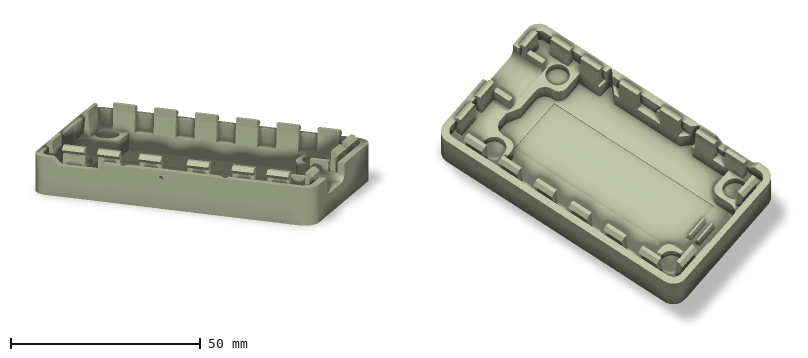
import cadquery as cq
length = 79.45
width = 44.2
total_height = 13.3
rim_height = 10.5
wall = 2.0
left_wall = 1.8
outer_radius = 4.0
inner_radius = 2.55

ledge_z = 5.95
floor_z = 1.0
label_recess_depth = 0.3
overcut = 0.8

half_length = length / 2
half_width = width / 2
wall_x = half_length - wall
wall_y = half_width - wall

tab_thickness = 1.0
end_wall_tab_thickness = 0.95
tab_base_spread = 0.5
hook_reach = 1.0
hook_tip_z = total_height - hook_reach
hook_under_z = hook_tip_z - hook_reach
tab_base_inset = hook_reach + tab_thickness + tab_base_spread
tab_width = 6.1
side_tab_width = 6.6
end_tab_center = 28.8

back_tab_count = 6
back_tab_pitch = 2 * end_tab_center / (back_tab_count - 1)
back_tabs = [-end_tab_center + i * back_tab_pitch for i in range(back_tab_count)]
front_tabs = [-end_tab_center, -18.9, -7.2, 6.3, 18.9, end_tab_center]
left_tabs = [-13.35, 13.35]
right_tab_spans = [(10.0, 16.1), (1.4, 7.55), (-17.6, -12.1)]

pocket_y = wall_y - tab_base_inset
scoop_x = -38.1
scoop_corner_radius = 4.8
scoop_cove_radius = ledge_z - floor_z
post_y = 9.5
post_radius = 2.6
left_post_x = -27.25
right_post_x = 22.0
bay_x = 30.0
bay_radius = 3.3
bay_low_y = 3.7
neck_x = 28.05
neck_radius = 3.1
neck_top_y = 0.15

relief_outer_x = 15.25
relief_inner_x = 10.8
relief_tip_x = (14.4, 14.85)
relief_tip_y = -21.7
relief_edge_y = -(wall_y - hook_reach - tab_thickness)

label_x = (-29.1, 23.7)
label_width = 17.5
ridge_centers = [-32.5, -29.8]
ridge_base = 1.6
ridge_top = 0.5
ridge_height = 2.0
ridge_length = 6.6

magnet_diameter = 6.4
magnet_depth = 2.5
magnet_x = (-31.9, 26.4)
magnet_y = 13.9

channel_y = (-12.1, 0.95)
channel_start_x = 30.0
channel_floor_z = 5.7
channel_radius = 2.0
guide_thickness = 1.4
guide_foot = 0.5
guide_end_x = 35.1

notch_bottom_x = (-31.85, -21.7)
notch_depth = 2.0
pin_x = -3.2
pin_z = 8.5
pin_diameter = 1.2
pin_boss_diameter = 2.1
pin_boss_length = 0.95


def box(x_span, y_span, z_span):
    """Axis-aligned box between pairs of limits."""
    size = [abs(b - a) for a, b in (x_span, y_span, z_span)]
    start = [min(span) for span in (x_span, y_span, z_span)]
    return cq.Workplane("XY").box(*size, centered=False).translate(tuple(start))


def rounded_block(size_x, size_y, radius, z_bottom, z_top):
    """Block centred on Z with rounded vertical edges."""
    block = cq.Workplane("XY", origin=(0, 0, z_bottom)).rect(size_x, size_y).extrude(z_top - z_bottom)
    return block.edges("|Z").fillet(radius)


def tray():
    body = rounded_block(length, width, outer_radius, 0, rim_height)
    cavity_length = length - wall - left_wall
    cavity = rounded_block(cavity_length, 2 * wall_y, inner_radius, ledge_z, rim_height + overcut)
    return body.cut(cavity.translate(((left_wall - wall) / 2, 0, 0)))


def snap_tab(width_along_wall, center, wall_distance, thickness, turn):
    """Hooked tab facing +Y at the given wall distance, then turned about Z."""
    hook_y = wall_distance - hook_reach
    inner_y = hook_y - thickness
    profile = [
        (inner_y - tab_base_spread, ledge_z),
        (hook_y + tab_base_spread, ledge_z),
        (hook_y, hook_under_z),
        (wall_distance, hook_tip_z),
        (hook_y, total_height),
        (inner_y, total_height),
        (inner_y, hook_under_z),
    ]
    tab = cq.Workplane("YZ").polyline(profile).close().extrude(width_along_wall / 2, both=True)
    return tab.translate((center, 0, 0)).rotate((0, 0, 0), (0, 0, 1), turn)


def all_tabs():
    tabs = [snap_tab(tab_width, x, wall_y, tab_thickness, 0) for x in back_tabs]
    tabs += [snap_tab(tab_width, -x, wall_y, tab_thickness, 180) for x in front_tabs]
    tabs += [snap_tab(side_tab_width, y, wall_x, end_wall_tab_thickness, 90) for y in left_tabs]
    for low, high in right_tab_spans:
        center = -(low + high) / 2
        tabs.append(snap_tab(high - low, center, wall_x, end_wall_tab_thickness, -90))
    return tabs


def pocket_cutter():
    """Deep pocket between the posts, open upwards, with a coved left end."""
    outline = (
        cq.Workplane("XY", origin=(0, 0, floor_z))
        .moveTo(left_post_x, pocket_y)
        .lineTo(right_post_x, pocket_y)
        .lineTo(right_post_x, post_y + post_radius)
        .radiusArc((right_post_x + post_radius, post_y), -post_radius)
        .lineTo(bay_x - bay_radius, post_y)
        .radiusArc((bay_x, post_y - bay_radius), bay_radius)
        .lineTo(bay_x, bay_low_y)
        .lineTo(neck_x, neck_top_y)
        .lineTo(neck_x, -post_y + neck_radius)
        .radiusArc((neck_x - neck_radius, -post_y), neck_radius)
        .lineTo(right_post_x + post_radius, -post_y)
        .radiusArc((right_post_x, -post_y - post_radius), -post_radius)
        .lineTo(right_post_x, -pocket_y)
        .lineTo(relief_outer_x, -pocket_y)
        .lineTo(relief_tip_x[1], relief_tip_y)
        .lineTo(relief_tip_x[0], relief_tip_y)
        .lineTo(relief_inner_x, relief_edge_y)
        .lineTo(-relief_inner_x, relief_edge_y)
        .lineTo(-relief_tip_x[0], relief_tip_y)
        .lineTo(-relief_tip_x[1], relief_tip_y)
        .lineTo(-relief_outer_x, -pocket_y)
        .lineTo(left_post_x, -pocket_y)
        .lineTo(left_post_x, -post_y - post_radius)
        .radiusArc((left_post_x - post_radius, -post_y), -post_radius)
        .lineTo(scoop_x + scoop_corner_radius, -post_y)
        .radiusArc((scoop_x, -post_y + scoop_corner_radius), scoop_corner_radius)
        .lineTo(scoop_x, post_y - scoop_corner_radius)
        .radiusArc((scoop_x + scoop_corner_radius, post_y), scoop_corner_radius)
        .lineTo(left_post_x - post_radius, post_y)
        .radiusArc((left_post_x, post_y + post_radius), -post_radius)
        .close()
    )
    prism = outline.extrude(total_height + overcut - floor_z)
    cove = (
        cq.Workplane("XZ")
        .moveTo(scoop_x, floor_z)
        .lineTo(scoop_x + scoop_cove_radius, floor_z)
        .radiusArc((scoop_x, floor_z + scoop_cove_radius), scoop_cove_radius)
        .close()
        .extrude(post_y, both=True)
    )
    return prism.cut(cove)


def label_recess():
    y_span = (-label_width / 2, label_width / 2)
    return box(label_x, y_span, (floor_z - label_recess_depth, floor_z + overcut))


def latch_ridge(center_x):
    """Trapezoidal ridge running along Y, rooted in the floor plate."""
    root_z = floor_z - label_recess_depth
    profile = [
        (center_x - ridge_base / 2, root_z),
        (center_x + ridge_base / 2, root_z),
        (center_x + ridge_base / 2, floor_z),
        (center_x + ridge_top / 2, floor_z + ridge_height),
        (center_x - ridge_top / 2, floor_z + ridge_height),
        (center_x - ridge_base / 2, floor_z),
    ]
    return cq.Workplane("XZ").polyline(profile).close().extrude(ridge_length / 2, both=True)


def magnet_holes():
    centers = [(x, y) for x in magnet_x for y in (-magnet_y, magnet_y)]
    plane = cq.Workplane("XY", origin=(0, 0, ledge_z - magnet_depth))
    return plane.pushPoints(centers).circle(magnet_diameter / 2).extrude(magnet_depth)


def channel_cutter():
    """Trough with rounded lower corners, open upwards and through the right wall."""
    trough = box((channel_start_x, half_length + overcut), channel_y, (channel_floor_z, total_height + overcut))
    return trough.edges("|X and <Z").fillet(channel_radius)


def channel_bed():
    """Fill under the channel, deep enough to hold its rounded corners."""
    top_z = channel_floor_z + channel_radius
    return box((channel_start_x, half_length - wall / 2), channel_y, (channel_floor_z, top_z))


def channel_guide(edge_y, side):
    """Upright strip beside the channel with a 45 degree foot on its outer side."""
    profile = [
        (edge_y, channel_floor_z),
        (edge_y, rim_height),
        (edge_y + side * guide_thickness, rim_height),
        (edge_y + side * guide_thickness, ledge_z + guide_foot),
        (edge_y + side * (guide_thickness + guide_foot), ledge_z),
        (edge_y + side * (guide_thickness + guide_foot), channel_floor_z),
    ]
    plane = cq.Workplane("YZ", origin=(channel_start_x, 0, 0))
    return plane.polyline(profile).close().extrude(guide_end_x - channel_start_x)


def opening_notch():
    """Notch in the front rim with 45 degree ends."""
    rise = notch_depth + overcut
    bottom_z = rim_height - notch_depth
    left, right = notch_bottom_x
    profile = [
        (left, bottom_z),
        (right, bottom_z),
        (right + rise, bottom_z + rise),
        (left - rise, bottom_z + rise),
    ]
    plane = cq.Workplane("XZ", origin=(0, -wall_y, 0))
    return plane.polyline(profile).close().extrude(wall + overcut)


def pin_cylinder(diameter, y_start, y_end):
    plane = cq.Workplane("XZ", origin=(pin_x, y_start, pin_z))
    return plane.circle(diameter / 2).extrude(y_start - y_end)


result = tray().cut(opening_notch())
for tab in all_tabs():
    result = result.union(tab)
result = result.union(channel_guide(channel_y[1], 1))
result = result.union(channel_guide(channel_y[0], -1))
result = result.union(channel_bed())
result = result.cut(channel_cutter())
result = result.cut(pocket_cutter())
result = result.cut(label_recess())
for ridge_x in ridge_centers:
    result = result.union(latch_ridge(ridge_x))
result = result.cut(magnet_holes())

boss_end_y = -wall_y + pin_boss_length
result = result.union(pin_cylinder(pin_boss_diameter, boss_end_y, -wall_y - wall / 2))
result = result.cut(pin_cylinder(pin_diameter, boss_end_y + overcut, -half_width - overcut))